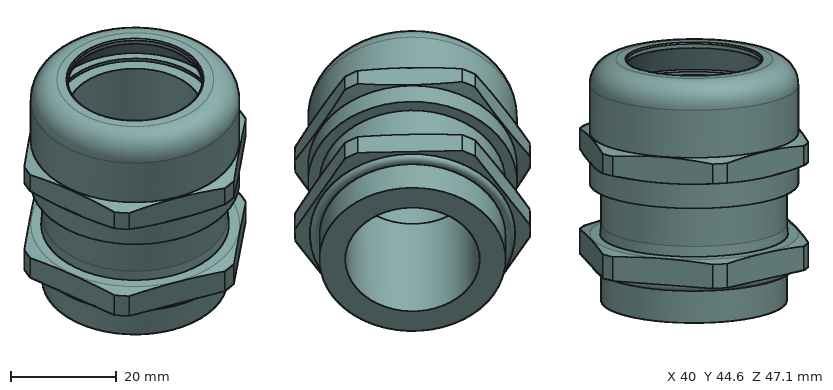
import cadquery as cq
import math

HEX_SIDES = 6
ACROSS_FLATS = 40.0
ACROSS_CORNERS = 44.6

O_RING_LEVEL = 7.5
BODY_HEX_BOTTOM = 7.88
BODY_HEX_TOP = 13.0
BODY_COLLAR_TOP = 15.05
CAP_BOTTOM = 22.95
SEAL_BOTTOM = 25.95
CAP_HEX_BOTTOM = 27.7
CAP_HEX_TOP = 32.85
BODY_TOP = CAP_HEX_TOP
SEAL_TOP = 40.25
CAGE_TOP = 40.85
CAP_TOP = 47.15

BORE_RADIUS = 12.75
SEAL_RADIUS = 15.15
CAGE_RADIUS = 16.8
BODY_RADIUS = 17.65
BODY_COLLAR_RADIUS = 17.85
O_RING_CENTRE_RADIUS = 18.5
O_RING_WIRE_RADIUS = 1.0
CAP_RADIUS = 19.8

CAP_FILLET = 4.95
CAP_MOUTH_CHAMFER = 0.3
CAP_LIP_HEIGHT = 1.1
BODY_HEX_CHAMFER_ANGLE = 10.0
CAP_HEX_CHAMFER_ANGLE = 15.0


def cylinder(radius, bottom, top):
    """Solid cylinder between two levels."""
    return cq.Workplane("XY").workplane(offset=bottom).circle(radius).extrude(top - bottom)


def tube(outer_radius, inner_radius, bottom, top):
    """Plain ring between two levels."""
    return cylinder(outer_radius, bottom, top).cut(cylinder(inner_radius, bottom, top))


def revolve_profile(points):
    """Turn a closed outline of (radius, height) points about the Z axis."""
    return cq.Workplane("XZ").polyline(points).close().revolve(360, (0, 0), (0, 1))


def chamfered_hexagon(bottom, top, chamfer_angle, chamfer_bottom):
    """Hexagon with flats facing +X and -X, its corners turned round and its faces chamfered by cones."""
    corner_radius = ACROSS_CORNERS / 2
    drop = (corner_radius - CAP_RADIUS) * math.tan(math.radians(chamfer_angle))
    turned_outline = [(0, top), (CAP_RADIUS, top), (corner_radius, top - drop)]
    if chamfer_bottom:
        turned_outline += [(corner_radius, bottom + drop), (CAP_RADIUS, bottom), (0, bottom)]
    else:
        turned_outline += [(corner_radius, bottom), (0, bottom)]
    circumscribed_diameter = ACROSS_FLATS / math.cos(math.pi / HEX_SIDES)
    hexagon = (
        cq.Workplane("XY")
        .workplane(offset=bottom)
        .transformed(rotate=(0, 0, 180 / HEX_SIDES))
        .polygon(HEX_SIDES, circumscribed_diameter)
        .extrude(top - bottom)
    )
    return hexagon.intersect(revolve_profile(turned_outline))


def make_o_ring():
    """O-ring of round section, half sunk in the corner between the shank and the body hexagon."""
    section = cq.Workplane("XZ").center(O_RING_CENTRE_RADIUS, O_RING_LEVEL).circle(O_RING_WIRE_RADIUS)
    return section.revolve(360, (-O_RING_CENTRE_RADIUS, 0), (-O_RING_CENTRE_RADIUS, 1))


def make_body():
    """Gland body: hexagon, tapered collar above it, O-ring groove below it, and a seat for the seal."""
    body = cylinder(BODY_RADIUS, 0, BODY_TOP)
    body = body.union(chamfered_hexagon(BODY_HEX_BOTTOM, BODY_HEX_TOP, BODY_HEX_CHAMFER_ANGLE, False))
    tapered_collar = [
        (0, BODY_HEX_TOP),
        (BODY_COLLAR_RADIUS, BODY_HEX_TOP),
        (BODY_RADIUS, BODY_COLLAR_TOP),
        (0, BODY_COLLAR_TOP),
    ]
    body = body.union(revolve_profile(tapered_collar))
    body = body.cut(make_o_ring())
    body = body.cut(cylinder(BORE_RADIUS, 0, SEAL_BOTTOM))
    return body.cut(cylinder(SEAL_RADIUS, SEAL_BOTTOM, BODY_TOP))


def make_seal():
    """Rubber sleeve seated in the body, forming the cable bore."""
    return tube(SEAL_RADIUS, BORE_RADIUS, SEAL_BOTTOM, SEAL_TOP)


def make_cage():
    """Clamping ring around the seal, standing on the body."""
    return tube(CAGE_RADIUS, SEAL_RADIUS, BODY_TOP, CAGE_TOP)


def make_cap():
    """Domed cap nut with a hexagon, a stepped bore and a cone that presses on the cage."""
    cap = cylinder(CAP_RADIUS, CAP_BOTTOM, CAP_TOP).faces(">Z").edges().fillet(CAP_FILLET)
    cap = cap.union(chamfered_hexagon(CAP_HEX_BOTTOM, CAP_HEX_TOP, CAP_HEX_CHAMFER_ANGLE, True))
    inside = [
        (0, CAP_BOTTOM),
        (BODY_RADIUS, CAP_BOTTOM),
        (BODY_RADIUS, BODY_TOP),
        (CAGE_RADIUS, BODY_TOP),
        (CAGE_RADIUS, CAGE_TOP),
        (BORE_RADIUS, CAP_TOP - CAP_LIP_HEIGHT),
        (BORE_RADIUS, CAP_TOP - CAP_MOUTH_CHAMFER),
        (BORE_RADIUS + CAP_MOUTH_CHAMFER, CAP_TOP),
        (0, CAP_TOP),
    ]
    return cap.cut(revolve_profile(inside))


body = make_body()
o_ring = make_o_ring()
seal = make_seal()
cage = make_cage()
cap = make_cap()

result = cq.Compound.makeCompound([body.val(), o_ring.val(), seal.val(), cage.val(), cap.val()])